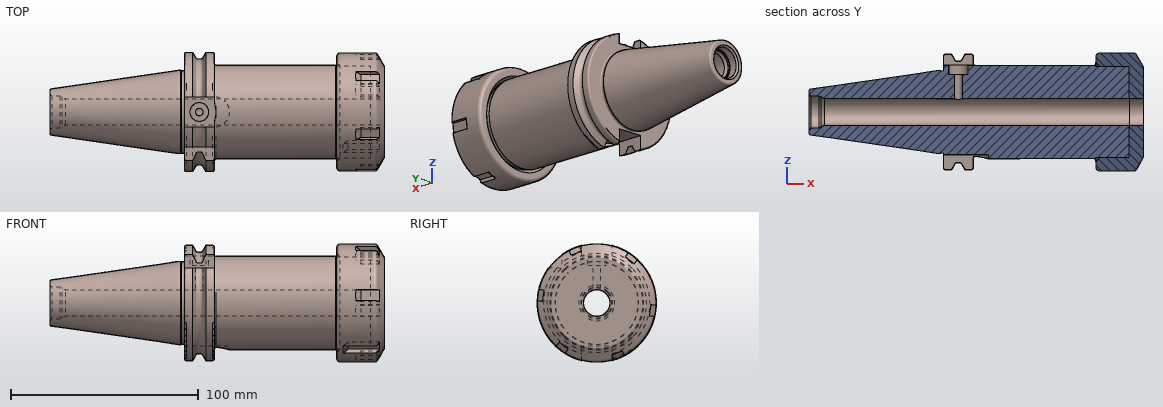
import cadquery as cq
import math


GAUGE_RADIUS = 44.45 / 2
TAPER_LENGTH = 68.4
TAPER_RATIO = 7 / 24
SHANK_END_RADIUS = GAUGE_RADIUS - TAPER_LENGTH * TAPER_RATIO / 2
SHANK_END_FILLET = 1.0
GAUGE_LAND_LENGTH = 1.2
NECK_DEPTH = 0.2
NECK_CHAMFER_LENGTH = 0.4
NECK_ROOT_FILLET = 0.5

FLANGE_RADIUS = 63.55 / 2
FLANGE_START = 3.2
FLANGE_END = 19.1
FLANGE_EDGE_FILLET = 1.0
GROOVE_CENTER = 11.1
GROOVE_WIDTH = 7.0
GROOVE_FLOOR_RADIUS = 56.5 / 2
GROOVE_HALF_ANGLE = math.radians(30)
GROOVE_FLOOR_FILLET = 1.2

KEY_SLOT_WIDTH = 16.1
TOP_SLOT_FLOOR = 25.0
BOTTOM_SLOT_FLOOR = 22.8
NOTCH_OFFSET = 18.5
COOLANT_COUNTERBORE_DIAMETER = 10.0
COOLANT_COUNTERBORE_DEPTH = 5.0
COOLANT_HOLE_DIAMETER = 4.0

BODY_RADIUS = 25.0
BODY_ROOT_FILLET = 1.0
BODY_END_CHAMFER = 0.5
BORE_RADIUS = 7.0
THREAD_RADIUS = 8.0
THREAD_LEAD_LENGTH = 1.0
THREAD_CONE_ANGLE = math.radians(30)
ENTRY_RADIUS = 8.5
ENTRY_DEPTH = 5.5
ENTRY_CHAMFER = 1.0

OVERALL_LENGTH = 178.1
NUT_RADIUS = 31.5
NUT_LENGTH = 25.5
NUT_FRONT = OVERALL_LENGTH - TAPER_LENGTH
NUT_REAR = NUT_FRONT - NUT_LENGTH
NUT_REAR_FILLET = 2.0
NUT_CONE_LENGTH = 4.25
NUT_CONE_ANGLE = math.radians(60)
NUT_CONE_FILLET = 2.0
NUT_FRONT_FILLET = 1.0
NUT_FRONT_RADIUS = NUT_RADIUS - NUT_CONE_LENGTH * math.tan(NUT_CONE_ANGLE)
STUB_RADIUS = BODY_RADIUS - BODY_END_CHAMFER
STUB_LENGTH = 18.0
NUT_MOUTH_RADIUS = 26.4

WRENCH_SLOT_COUNT = 6
WRENCH_SLOT_WIDTH = 6.0
WRENCH_SLOT_FLOOR = 28.7
WRENCH_SLOT_LENGTH = 15.4
LONG_SLOT_LENGTH = 22.2
LONG_SLOT_INDEX = 5
FIRST_SLOT_ANGLE = 7.7

CLEARANCE = 5.0
SELECTION_REACH = 0.05


def revolve_about_x(sketch):
    """Full revolution about X of a closed outline drawn as (x, radius)."""
    return sketch.close().revolve(360, (0, 0, 0), (1, 0, 0))


def box_between(low, high):
    """Axis-parallel box between two opposite corners."""
    size = [b - a for a, b in zip(low, high)]
    return cq.Workplane("XY").box(*size, centered=False).translate(low)


def edges_at(x, radius):
    """Selector for the circular edges around X at the given station and radius."""
    reach = SELECTION_REACH
    return cq.selectors.BoxSelector(
        (x - reach, -radius - reach, -radius - reach),
        (x + reach, radius + reach, radius + reach),
        boundingbox=True,
    ) - cq.selectors.BoxSelector(
        (x - reach, -radius + reach, -radius + reach),
        (x + reach, radius - reach, radius - reach),
        boundingbox=True,
    )


def holder_blank():
    neck_radius = GAUGE_RADIUS - NECK_DEPTH
    blank = revolve_about_x(
        cq.Workplane("XY")
        .moveTo(-TAPER_LENGTH, 0)
        .lineTo(-TAPER_LENGTH, SHANK_END_RADIUS)
        .lineTo(0, GAUGE_RADIUS)
        .lineTo(GAUGE_LAND_LENGTH, GAUGE_RADIUS)
        .lineTo(GAUGE_LAND_LENGTH + NECK_CHAMFER_LENGTH, neck_radius)
        .lineTo(FLANGE_START, neck_radius)
        .lineTo(FLANGE_START, FLANGE_RADIUS)
        .lineTo(FLANGE_END, FLANGE_RADIUS)
        .lineTo(FLANGE_END, BODY_RADIUS)
        .lineTo(NUT_REAR - BODY_END_CHAMFER, BODY_RADIUS)
        .lineTo(NUT_REAR, STUB_RADIUS)
        .lineTo(NUT_REAR + STUB_LENGTH, STUB_RADIUS)
        .lineTo(NUT_REAR + STUB_LENGTH, 0)
    )
    blank = blank.edges(edges_at(-TAPER_LENGTH, SHANK_END_RADIUS)).fillet(SHANK_END_FILLET)
    for x in (FLANGE_START, FLANGE_END):
        blank = blank.edges(edges_at(x, FLANGE_RADIUS)).fillet(FLANGE_EDGE_FILLET)
    blank = blank.edges(edges_at(FLANGE_START, GAUGE_RADIUS - NECK_DEPTH)).fillet(NECK_ROOT_FILLET)
    return blank.edges(edges_at(FLANGE_END, BODY_RADIUS)).fillet(BODY_ROOT_FILLET)


def v_groove():
    """Ring cutter for the gripper groove, with rounded floor corners."""
    floor_half = GROOVE_WIDTH / 2 - (FLANGE_RADIUS - GROOVE_FLOOR_RADIUS) * math.tan(GROOVE_HALF_ANGLE)
    outer_radius = FLANGE_RADIUS + CLEARANCE
    outer_half = GROOVE_WIDTH / 2 + CLEARANCE * math.tan(GROOVE_HALF_ANGLE)
    ring = revolve_about_x(
        cq.Workplane("XY")
        .moveTo(GROOVE_CENTER - floor_half, GROOVE_FLOOR_RADIUS)
        .lineTo(GROOVE_CENTER + floor_half, GROOVE_FLOOR_RADIUS)
        .lineTo(GROOVE_CENTER + outer_half, outer_radius)
        .lineTo(GROOVE_CENTER - outer_half, outer_radius)
    )
    for x in (GROOVE_CENTER - floor_half, GROOVE_CENTER + floor_half):
        ring = ring.edges(edges_at(x, GROOVE_FLOOR_RADIUS)).fillet(GROOVE_FLOOR_FILLET)
    return ring


def top_key_slot():
    half = KEY_SLOT_WIDTH / 2
    slot_end = FLANGE_END + BODY_ROOT_FILLET
    return box_between(
        (FLANGE_START - CLEARANCE, -half, TOP_SLOT_FLOOR),
        (slot_end, half, FLANGE_RADIUS + CLEARANCE),
    )


def bottom_key_slot():
    """Deeper slot that runs out into the body with a round end."""
    half = KEY_SLOT_WIDTH / 2
    bottom = -FLANGE_RADIUS - CLEARANCE
    straight = box_between(
        (FLANGE_START - CLEARANCE, -half, bottom),
        (FLANGE_END, half, -BOTTOM_SLOT_FLOOR),
    )
    round_end = (
        cq.Workplane("XY", origin=(FLANGE_END, 0, bottom))
        .circle(half)
        .extrude(-BOTTOM_SLOT_FLOOR - bottom)
    )
    return straight.union(round_end)


def corner_notch():
    outside = FLANGE_RADIUS + CLEARANCE
    return box_between(
        (FLANGE_START - CLEARANCE, -outside, NOTCH_OFFSET),
        (FLANGE_END + CLEARANCE, -NOTCH_OFFSET, outside),
    )


def coolant_hole():
    """Counterbored hole from the top slot floor down to the central bore."""
    floor = cq.Workplane("XY", origin=(GROOVE_CENTER, 0, TOP_SLOT_FLOOR))
    counterbore = floor.circle(COOLANT_COUNTERBORE_DIAMETER / 2).extrude(-COOLANT_COUNTERBORE_DEPTH)
    hole = floor.circle(COOLANT_HOLE_DIAMETER / 2).extrude(-TOP_SLOT_FLOOR)
    return counterbore.union(hole)


def drawbar_bore():
    """Stepped bore: chamfered entry, thread lead-in cone, and a through bore."""
    entry_end = -TAPER_LENGTH + ENTRY_DEPTH
    cone_start = entry_end + THREAD_LEAD_LENGTH
    cone_end = cone_start + (THREAD_RADIUS - BORE_RADIUS) / math.tan(THREAD_CONE_ANGLE)
    return revolve_about_x(
        cq.Workplane("XY")
        .moveTo(-TAPER_LENGTH, 0)
        .lineTo(-TAPER_LENGTH, ENTRY_RADIUS + ENTRY_CHAMFER)
        .lineTo(-TAPER_LENGTH + ENTRY_CHAMFER, ENTRY_RADIUS)
        .lineTo(entry_end, ENTRY_RADIUS)
        .lineTo(entry_end, THREAD_RADIUS)
        .lineTo(cone_start, THREAD_RADIUS)
        .lineTo(cone_end, BORE_RADIUS)
        .lineTo(NUT_FRONT, BORE_RADIUS)
        .lineTo(NUT_FRONT, 0)
    )


def make_holder():
    cutters = (v_groove, top_key_slot, bottom_key_slot, corner_notch, coolant_hole, drawbar_bore)
    holder = holder_blank()
    for cutter in cutters:
        holder = holder.cut(cutter())
    return holder


def wrench_slot(length, angle):
    """Flat-floored slot open to the front, with a 45 degree run-out at its rear."""
    outside = NUT_RADIUS + CLEARANCE
    rear = NUT_FRONT - length
    ramp = NUT_RADIUS - WRENCH_SLOT_FLOOR
    return (
        cq.Workplane("XY")
        .moveTo(rear + ramp, -WRENCH_SLOT_FLOOR)
        .lineTo(NUT_FRONT + CLEARANCE, -WRENCH_SLOT_FLOOR)
        .lineTo(NUT_FRONT + CLEARANCE, -outside)
        .lineTo(rear - CLEARANCE, -outside)
        .close()
        .extrude(WRENCH_SLOT_WIDTH / 2, both=True)
        .rotate((0, 0, 0), (1, 0, 0), -angle)
    )


def make_nut():
    mouth_chamfer = NUT_MOUTH_RADIUS - STUB_RADIUS
    nut = revolve_about_x(
        cq.Workplane("XY")
        .moveTo(NUT_REAR + mouth_chamfer, STUB_RADIUS)
        .lineTo(NUT_REAR, NUT_MOUTH_RADIUS)
        .lineTo(NUT_REAR, NUT_RADIUS)
        .lineTo(NUT_FRONT - NUT_CONE_LENGTH, NUT_RADIUS)
        .lineTo(NUT_FRONT, NUT_FRONT_RADIUS)
        .lineTo(NUT_FRONT, BORE_RADIUS)
        .lineTo(NUT_REAR + STUB_LENGTH, BORE_RADIUS)
        .lineTo(NUT_REAR + STUB_LENGTH, STUB_RADIUS)
    )
    nut = nut.edges(edges_at(NUT_REAR, NUT_RADIUS)).fillet(NUT_REAR_FILLET)
    nut = nut.edges(edges_at(NUT_FRONT - NUT_CONE_LENGTH, NUT_RADIUS)).fillet(NUT_CONE_FILLET)
    nut = nut.edges(edges_at(NUT_FRONT, NUT_FRONT_RADIUS)).fillet(NUT_FRONT_FILLET)
    for index in range(WRENCH_SLOT_COUNT):
        length = LONG_SLOT_LENGTH if index == LONG_SLOT_INDEX else WRENCH_SLOT_LENGTH
        angle = FIRST_SLOT_ANGLE + index * 360 / WRENCH_SLOT_COUNT
        nut = nut.cut(wrench_slot(length, angle))
    return nut


holder = make_holder()
nut = make_nut()
result = cq.Compound.makeCompound([holder.val(), nut.val()])